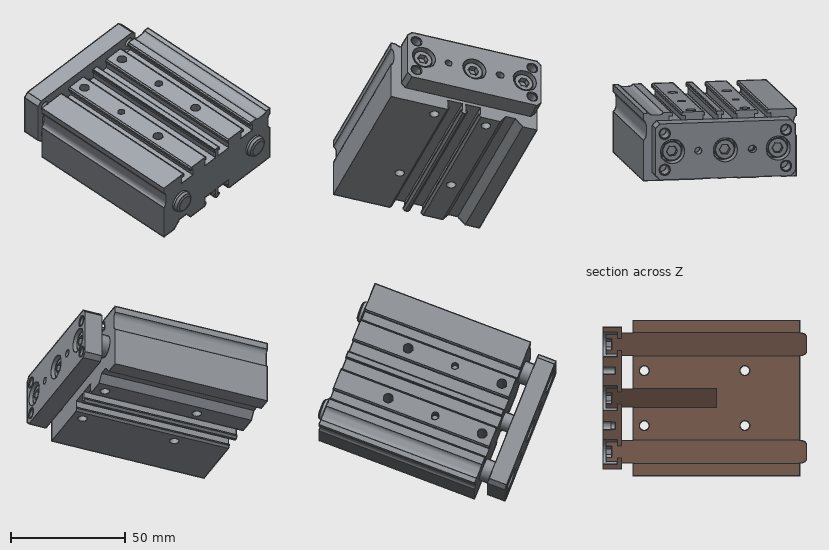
import cadquery as cq
import math

OVERALL_LENGTH = 89.0

PLATE_THICKNESS = 8.2
PLATE_WIDTH = 62.1
PLATE_HEIGHT = 24.8
PLATE_CHAMFER = 2.0
TAPPED_HOLE_DIAMETER = 4.2
TAPPED_HOLE_CHAMFER = 0.4
TAPPED_HOLE_Y = 27.0
TAPPED_HOLE_Z = 8.0

HOUSING_START = 13.1
HOUSING_LENGTH = 73.0
HOUSING_WIDTH = 68.0
HOUSING_HEIGHT = 30.0
HALF_WIDTH = HOUSING_WIDTH / 2
HALF_HEIGHT = HOUSING_HEIGHT / 2
HOUSING_END = HOUSING_START + HOUSING_LENGTH

SLOT_DEPTH = 5.2
LIP_THICKNESS = 1.6
TOP_LIP_CHAMFER = (0.6, 0.5)
BOTTOM_LIP_CHAMFER = (1.0, 1.0)
CENTER_RAIL_TOP_CHAMFER = (0.4, 0.4)
CENTER_RAIL_STEM = 0.8
CENTER_RAIL_HEAD = 1.5
INNER_SLOT_MOUTH = 6.85
INNER_SLOT_STEM = 7.6
OUTER_SLOT_STEM_NEAR = 15.4
OUTER_SLOT_MOUTH_NEAR = 16.9
OUTER_SLOT_MOUTH_FAR = 21.0
OUTER_SLOT_STEM_FAR = 22.7

SIDE_GROOVE_Z = 7.5
SIDE_GROOVE_FLOOR = 3.6
SIDE_GROOVE_ARC = 2.0
SIDE_GROOVE_CHAMFER = 0.7
SIDE_GROOVE_DEPTH = 1.25
TOP_GROOVE_Y = 28.4
TOP_GROOVE_FLOOR = 2.3
TOP_GROOVE_ARC = 2.1
TOP_GROOVE_DEPTH = 1.0

BOTTOM_GROOVE_DEPTH = 3.6
BOTTOM_GROOVE_INNER_Y = -16.9
BOTTOM_GROOVE_OUTER_Y = -27.4
BOTTOM_GROOVE_INNER_ANGLE = 54.0
BOTTOM_GROOVE_OUTER_ANGLE = 45.0

HOLE_Y = 12.0
MOUNT_HOLE_DIAMETER = 4.2
MOUNT_HOLE_SPACING = 44.0
PIN_HOLE_X = 40.05
PIN_HOLE_DIAMETER = 3.0
PIN_SLOT_LENGTH = 3.6
PIN_HOLE_DEPTH = 5.3
PIN_SLOT_DEPTH = 3.6

ROD_SPACING = 23.5
GUIDE_ROD_DIAMETER = 10.0
PISTON_ROD_DIAMETER = 8.0
PISTON_ROD_END = HOUSING_START + HOUSING_LENGTH / 2
SHANK_DIAMETER = 5.0
HEAD_DIAMETER = 8.7
HEAD_CHAMFER = 0.3
HEAD_RECESS = 1.25
HEAD_HEIGHT = 5.0
COUNTERBORE_DIAMETER = 10.7
COUNTERBORE_DEPTH = HEAD_RECESS + HEAD_HEIGHT
SOCKET_FLATS = 4.2
SOCKET_DEPTH = 2.5
TIP_END_DIAMETER = 7.1
TIP_MIDDLE_DIAMETER = 8.9
TIP_END_LENGTH = 0.6
TIP_MIDDLE_LENGTH = 1.3


def cylinder(diameter, x_start, x_end, y=0.0, z=0.0):
    """A round bar along X."""
    plane = cq.Workplane("YZ", origin=(x_start, y, z))
    return plane.circle(diameter / 2).extrude(x_end - x_start)


def housing_prism(outline):
    """Extrude a closed YZ outline along the whole housing."""
    return outline.close().extrude(HOUSING_LENGTH)


def housing_sketch():
    return cq.Workplane("YZ", origin=(HOUSING_START, 0, 0))


def slot_points(stem_near, mouth_near, mouth_far, stem_far, near_chamfer, far_chamfer):
    """The outline of a T-slot as (distance from the mid-plane, depth below the face)."""
    near_run, near_drop = near_chamfer
    far_run, far_drop = far_chamfer
    return [
        (stem_near, SLOT_DEPTH),
        (stem_near, LIP_THICKNESS),
        (mouth_near, LIP_THICKNESS),
        (mouth_near, near_drop),
        (mouth_near - near_run, 0),
        (mouth_far + far_run, 0),
        (mouth_far, far_drop),
        (mouth_far, LIP_THICKNESS),
        (stem_far, LIP_THICKNESS),
        (stem_far, SLOT_DEPTH),
    ]


def t_slot(points, side, face):
    """A T-slot on one side (+1 or -1 in Y) of the top (+1) or bottom (-1) face."""
    placed = [(side * y, face * (HALF_HEIGHT - depth)) for y, depth in points]
    return housing_prism(housing_sketch().polyline(placed))


def cut_t_slots(housing):
    inner = (CENTER_RAIL_STEM, CENTER_RAIL_HEAD, INNER_SLOT_MOUTH, INNER_SLOT_STEM)
    outer = (OUTER_SLOT_STEM_NEAR, OUTER_SLOT_MOUTH_NEAR, OUTER_SLOT_MOUTH_FAR, OUTER_SLOT_STEM_FAR)
    top_inner = slot_points(*inner, CENTER_RAIL_TOP_CHAMFER, TOP_LIP_CHAMFER)
    top_outer = slot_points(*outer, TOP_LIP_CHAMFER, TOP_LIP_CHAMFER)
    bottom_inner = slot_points(*inner, BOTTOM_LIP_CHAMFER, BOTTOM_LIP_CHAMFER)
    for side in (1, -1):
        housing = housing.cut(t_slot(top_inner, side, 1))
        housing = housing.cut(t_slot(top_outer, side, 1))
        housing = housing.cut(t_slot(bottom_inner, side, -1))
    return housing


def rounded_groove(plane_point, floor_width, arc_width, chamfer, depth):
    """A groove with a flat floor, tangent arcs and chamfered mouth.

    plane_point maps (distance along the face, depth below it) to (y, z).
    """
    drop = depth - chamfer
    radius = (arc_width ** 2 + drop ** 2) / (2 * drop)
    half_sweep = math.asin(arc_width / radius) / 2
    floor = floor_width / 2
    edge = floor + arc_width
    mid = (floor + radius * math.sin(half_sweep), depth - radius * (1 - math.cos(half_sweep)))
    outline = housing_sketch().moveTo(*plane_point(-floor, depth)).lineTo(*plane_point(floor, depth))
    outline = outline.threePointArc(plane_point(*mid), plane_point(edge, chamfer))
    if chamfer > 0:
        outline = outline.lineTo(*plane_point(edge + chamfer, 0))
        outline = outline.lineTo(*plane_point(-edge - chamfer, 0))
    outline = outline.lineTo(*plane_point(-edge, chamfer))
    outline = outline.threePointArc(plane_point(-mid[0], mid[1]), plane_point(-floor, depth))
    return housing_prism(outline)


def cut_rounded_grooves(housing):
    for side in (1, -1):
        groove = rounded_groove(
            lambda along, depth: (side * (HALF_WIDTH - depth), SIDE_GROOVE_Z + along),
            SIDE_GROOVE_FLOOR, SIDE_GROOVE_ARC, SIDE_GROOVE_CHAMFER, SIDE_GROOVE_DEPTH,
        )
        housing = housing.cut(groove)
    top_groove = rounded_groove(
        lambda along, depth: (TOP_GROOVE_Y + along, HALF_HEIGHT - depth),
        TOP_GROOVE_FLOOR, TOP_GROOVE_ARC, 0, TOP_GROOVE_DEPTH,
    )
    return housing.cut(top_groove)


def cut_bottom_groove(housing):
    inner_run = BOTTOM_GROOVE_DEPTH / math.tan(math.radians(BOTTOM_GROOVE_INNER_ANGLE))
    outer_run = BOTTOM_GROOVE_DEPTH / math.tan(math.radians(BOTTOM_GROOVE_OUTER_ANGLE))
    floor_z = BOTTOM_GROOVE_DEPTH - HALF_HEIGHT
    outline = housing_sketch().polyline([
        (BOTTOM_GROOVE_INNER_Y, -HALF_HEIGHT),
        (BOTTOM_GROOVE_INNER_Y - inner_run, floor_z),
        (BOTTOM_GROOVE_OUTER_Y + outer_run, floor_z),
        (BOTTOM_GROOVE_OUTER_Y, -HALF_HEIGHT),
    ])
    return housing.cut(housing_prism(outline))


def cut_locating_pair(body, face, hole_center, slot_center, slot_angle, inward):
    """Cut two round pin holes into a face, one of them opening through a slot.

    face gives a fresh workplane on the face; inward is +1 or -1 along its normal.
    """
    for center in (hole_center, slot_center):
        hole = face().center(*center).circle(PIN_HOLE_DIAMETER / 2)
        body = body.cut(hole.extrude(inward * PIN_HOLE_DEPTH))
    slot = face().center(*slot_center).slot2D(PIN_SLOT_LENGTH, PIN_HOLE_DIAMETER, slot_angle)
    return body.cut(slot.extrude(inward * PIN_SLOT_DEPTH))


def cut_housing_holes(housing):
    def top_face():
        return cq.Workplane("XY", origin=(PIN_HOLE_X, 0, HALF_HEIGHT))

    mounts = top_face().rarray(MOUNT_HOLE_SPACING, 2 * HOLE_Y, 2, 2).circle(MOUNT_HOLE_DIAMETER / 2)
    housing = housing.cut(mounts.extrude(-HOUSING_HEIGHT))
    return cut_locating_pair(housing, top_face, (0, -HOLE_Y), (0, HOLE_Y), 90, -1)


def make_housing():
    housing = housing_sketch().rect(HOUSING_WIDTH, HOUSING_HEIGHT).extrude(HOUSING_LENGTH)
    housing = cut_t_slots(housing)
    housing = cut_rounded_grooves(housing)
    housing = cut_bottom_groove(housing)
    housing = cut_housing_holes(housing)
    for y in (-ROD_SPACING, ROD_SPACING):
        housing = housing.cut(cylinder(GUIDE_ROD_DIAMETER, HOUSING_START, HOUSING_END, y))
    return housing.cut(cylinder(PISTON_ROD_DIAMETER, HOUSING_START, PISTON_ROD_END))


def plate_front():
    return cq.Workplane("YZ")


def cut_tapped_holes(plate):
    """Corner holes through the plate, chamfered at the front."""
    radius = TAPPED_HOLE_DIAMETER / 2
    along_x = cq.Vector(1, 0, 0)
    for y in (-TAPPED_HOLE_Y, TAPPED_HOLE_Y):
        for z in (-TAPPED_HOLE_Z, TAPPED_HOLE_Z):
            mouth = cq.Solid.makeCone(
                radius + TAPPED_HOLE_CHAMFER, radius, TAPPED_HOLE_CHAMFER, cq.Vector(0, y, z), along_x
            )
            plate = plate.cut(cylinder(TAPPED_HOLE_DIAMETER, 0, PLATE_THICKNESS, y, z))
            plate = plate.cut(cq.Workplane(mouth))
    return plate


def cut_screw_holes(plate):
    """Counterbored holes for the rod screws."""
    for y in (-ROD_SPACING, 0, ROD_SPACING):
        plate = plate.cut(cylinder(COUNTERBORE_DIAMETER, 0, COUNTERBORE_DEPTH, y))
        plate = plate.cut(cylinder(SHANK_DIAMETER, COUNTERBORE_DEPTH, PLATE_THICKNESS, y))
    return plate


def make_plate():
    plate = plate_front().rect(PLATE_WIDTH, PLATE_HEIGHT).extrude(PLATE_THICKNESS)
    plate = plate.edges("|X").chamfer(PLATE_CHAMFER)
    plate = cut_tapped_holes(plate)
    plate = cut_locating_pair(plate, plate_front, (HOLE_Y, 0), (-HOLE_Y, 0), 0, 1)
    return cut_screw_holes(plate)


def add_screw(rod, y):
    """Join a rod to the screw that holds it: shank through the plate and socket head."""
    head = cylinder(HEAD_DIAMETER, HEAD_RECESS, COUNTERBORE_DEPTH, y).faces("<X").chamfer(HEAD_CHAMFER)
    shank = cylinder(SHANK_DIAMETER, COUNTERBORE_DEPTH, PLATE_THICKNESS, y)
    socket_corners = SOCKET_FLATS / math.cos(math.pi / 6)
    socket = cq.Workplane("YZ", origin=(HEAD_RECESS, y, 0)).polygon(6, socket_corners).extrude(SOCKET_DEPTH)
    return rod.union(shank).union(head).cut(socket)


def make_guide_rod(y):
    """A rod through the housing, tapering in two steps at its free end."""
    middle_x = OVERALL_LENGTH - TIP_END_LENGTH
    half_outline = [
        (PLATE_THICKNESS, 0),
        (PLATE_THICKNESS, GUIDE_ROD_DIAMETER / 2),
        (middle_x - TIP_MIDDLE_LENGTH, GUIDE_ROD_DIAMETER / 2),
        (middle_x, TIP_MIDDLE_DIAMETER / 2),
        (OVERALL_LENGTH, TIP_END_DIAMETER / 2),
        (OVERALL_LENGTH, 0),
    ]
    sketch = cq.Workplane("XY", origin=(0, y, 0)).polyline(half_outline).close()
    rod = sketch.revolve(360, (0, 0, 0), (1, 0, 0))
    return add_screw(rod, y)


def make_piston_rod():
    rod = cylinder(PISTON_ROD_DIAMETER, PLATE_THICKNESS, PISTON_ROD_END)
    return add_screw(rod, 0)


housing = make_housing()
plate = make_plate()
piston_rod = make_piston_rod()
guide_rods = [make_guide_rod(y) for y in (-ROD_SPACING, ROD_SPACING)]

result = cq.Compound.makeCompound(
    [housing.val(), plate.val(), piston_rod.val(), *[rod.val() for rod in guide_rods]]
)